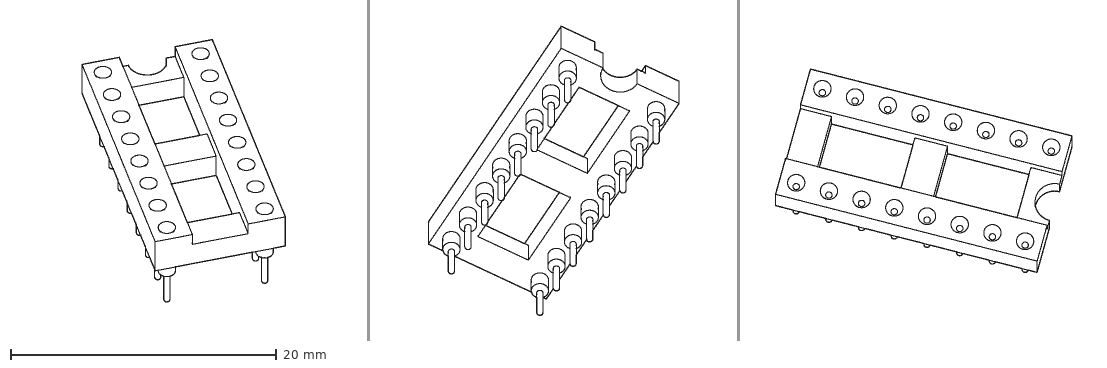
import cadquery as cq

pitch = 2.55
pins_per_row = 8
row_spacing = 3 * pitch
length = pins_per_row * pitch
width = 4 * pitch
total_height = 7.52

body_height = 2.99
channel_width = 4.35
channel_depth = 1.0
end_bridge = 2.42
middle_bridge = 2.55
notch_radius = 1.46

collar_radius = 0.65
collar_length = 1.45
taper_length = 0.3
lead_radius = 0.25
tip_rounding = 0.2

socket_radius = 0.65
socket_floor_radius = 0.25
socket_depth = 1.02

window_length = (length - 2 * end_bridge - middle_bridge) / 2
window_offset = (middle_bridge + window_length) / 2
overlap = 0.2
pin_bottom = body_height - total_height


def make_body():
    """Block with a lengthwise channel, two windows and an end notch."""
    on_base = (True, True, False)
    body = cq.Workplane("XY").box(length, width, body_height, centered=on_base)
    channel = (
        cq.Workplane("XY", origin=(0, 0, body_height - channel_depth))
        .box(length, channel_width, channel_depth, centered=on_base)
    )
    windows = (
        cq.Workplane("XY")
        .pushPoints([(-window_offset, 0), (window_offset, 0)])
        .rect(window_length, channel_width)
        .extrude(body_height)
    )
    notch = (
        cq.Workplane("XY", origin=(-length / 2, 0, 0))
        .circle(notch_radius)
        .extrude(body_height)
    )
    return body.cut(channel).cut(windows).cut(notch)


def make_pin():
    """Turned pin on the Z axis: collar, taper, slim lead and rounded tip."""
    taper_top = -collar_length
    return (
        cq.Workplane("XZ")
        .moveTo(0, overlap)
        .lineTo(collar_radius, overlap)
        .lineTo(collar_radius, taper_top)
        .lineTo(lead_radius, taper_top - taper_length)
        .lineTo(lead_radius, pin_bottom + tip_rounding)
        .radiusArc((lead_radius - tip_rounding, pin_bottom), tip_rounding)
        .lineTo(0, pin_bottom)
        .close()
        .revolve(360, (0, 0, 0), (0, 1, 0))
    )


def make_socket():
    """Flat-bottomed conical void on the Z axis, open at the top of the body."""
    floor = body_height - socket_depth
    return (
        cq.Workplane("XZ")
        .moveTo(0, body_height)
        .lineTo(socket_radius, body_height)
        .lineTo(socket_floor_radius, floor)
        .lineTo(0, floor)
        .close()
        .revolve(360, (0, 0, 0), (0, 1, 0))
    )


def at_every_pin(shape):
    """Copies of a shape at all pin positions of both rows."""
    positions = cq.Workplane("XY").rarray(pitch, row_spacing, pins_per_row, 2)
    return positions.eachpoint(lambda place: shape.val().moved(place))


result = make_body().union(at_every_pin(make_pin())).cut(at_every_pin(make_socket()))